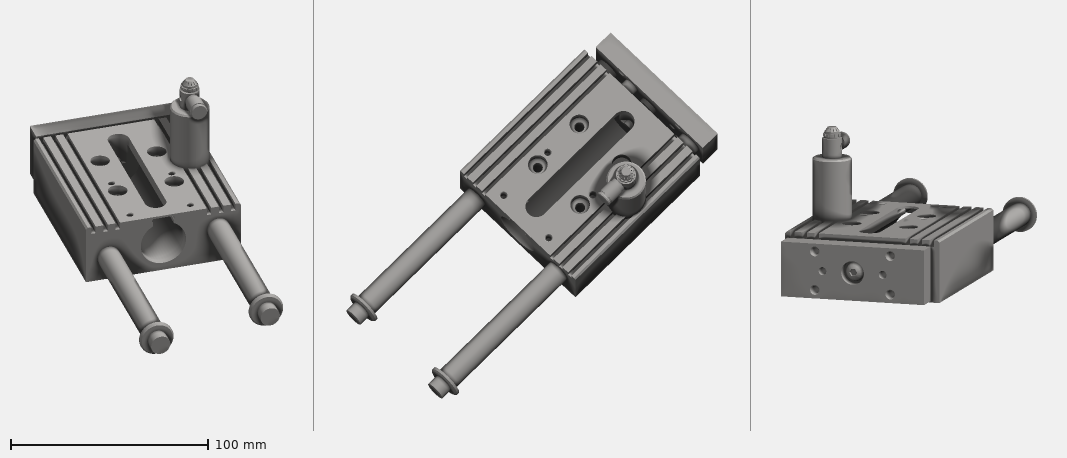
import cadquery as cq
import math

total_length = 195.0
overall_height = 79.2

plate_thickness = 10.7
plate_width = 76.0
plate_bottom = 1.8
plate_height = 28.3

housing_start = 16.0
housing_length = 89.9
housing_width = 82.0
housing_height = 32.2
housing_end = housing_start + housing_length
housing_edge_chamfer = 1.0

groove_width = 2.3
groove_depth = 3.9
groove_pitch = 6.5
groove_first_y = 24.2
grooves_per_side = 3

axis_z = housing_height / 2
bore_diameter = 24.0
bore_start = 26.7
slot_start = 23.8
slot_end = 97.9
slot_width = 11.1

passage_start = 92.5
passage_top = 31.0
passage_lip_height = 2.5
passage_width = 12.0

mount_hole_x = (46.0, 76.0)
mount_hole_y = 15.0
mount_hole_diameter = 5.0
mount_bore_diameter = 10.0
mount_bore_depth = 5.5

top_tap_x = (68.0, 99.8)
top_tap_y = 16.0
top_tap_diameter = 3.3
top_tap_mouth = 4.0
top_tap_depth = 5.8
drill_point_angle = 118.0

guide_y = 29.0
left_guide_z = 19.1
right_guide_z = 12.9
guide_diameter = 12.0
collar_start = 186.8
collar_thickness = 2.1
collar_diameter = 18.0
collar_chamfer = 0.8
guide_tip_diameter = 10.1

rod_diameter = 5.3
rod_collar_diameter = 10.0
rod_collar_thickness = 2.3
stop_diameter = 8.2
stop_y = -12.5
stop_z = 22.5

plate_tap_y = 20.0
plate_tap_z_offset = 10.0
plate_tap_diameter = 4.0
plate_tap_mouth = 5.0
plate_pin_y = 16.0
plate_pin_diameter = 4.0

screw_recess_diameter = 12.0
screw_recess_depth = 4.7
screw_head_diameter = 10.0
screw_head_height = 3.7
screw_socket_diameter = 4.0
screw_socket_depth = 2.0

canister_x = 57.1
canister_y = guide_y
canister_diameter = 20.0
canister_top = 63.5
canister_chamfer = 0.8

post_diameter = 10.1
post_top = 73.5
neck_diameter = 7.6
ring_diameter = 9.2
ring_bottom = 74.5
ring_height = 1.4
ring_notches = 12
ring_notch_width = 0.8
ring_notch_depth = 0.5
cap_cone_bottom = 77.0
cap_tip_diameter = 4.5
cap_flutes = 12
cap_flute_width = 0.4
cap_flute_inner_radius = 2.5
outlet_z = 69.2
outlet_cone_start = 2.5
outlet_cone_start_diameter = 9.0
outlet_inner_diameter = 5.3
outlet_collar_start = 5.0
outlet_collar_diameter = 7.6
outlet_sleeve_start = 7.5
outlet_sleeve_diameter = 8.5
outlet_gap_start = 14.5
outlet_gap_end = 15.2
outlet_end = 16.8
outlet_ring_chamfer = 0.4
screw_hole_diameter = 3.5
screw_hole_depth = 0.8
screw_slot_diameter = 2.1
screw_slot_depth = 1.5


def rod_x(start, end, y, z, diameter):
    """Cylinder along X between two X positions."""
    return cq.Workplane("YZ", origin=(start, y, z)).circle(diameter / 2).extrude(end - start)


def rod_z(start, end, x, y, diameter):
    """Upright cylinder between two heights."""
    return cq.Workplane("XY", origin=(x, y, start)).circle(diameter / 2).extrude(end - start)


def housing_block():
    block = cq.Workplane("XY").box(
        housing_length, housing_width, housing_height, centered=(False, True, False)
    ).translate((housing_start, 0, 0))
    return block.faces(">Z").edges("|X").chamfer(housing_edge_chamfer)


def housing_grooves():
    groove_y = [
        side * (groove_first_y + i * groove_pitch) for side in (-1, 1) for i in range(grooves_per_side)
    ]
    middle = (housing_start + housing_end) / 2
    return (
        cq.Workplane("XY", origin=(middle, 0, housing_height))
        .pushPoints([(0, y) for y in groove_y])
        .rect(housing_length, groove_width)
        .extrude(-groove_depth)
    )


def piston_bore():
    return rod_x(bore_start, housing_end, 0, axis_z, bore_diameter)


def top_slot():
    """Round-ended opening from the top down to the bore axis."""
    return (
        cq.Workplane("XY", origin=((slot_start + slot_end) / 2, 0, housing_height))
        .slot2D(slot_end - slot_start, slot_width)
        .extrude(axis_z - housing_height)
    )


def slot_end_passage():
    """Channel as wide as the slot, with a wider round-sided top, running out through the +X face."""
    length = housing_end - passage_start
    channel = cq.Workplane("XY", origin=(passage_start, 0, axis_z)).box(
        length, slot_width, passage_top - axis_z, centered=(False, True, False)
    )
    lip = (
        cq.Workplane("YZ", origin=(passage_start, 0, passage_top - passage_lip_height / 2))
        .slot2D(passage_width, passage_lip_height)
        .extrude(length)
    )
    return channel.union(lip)


def mount_hole(x, y):
    through = rod_z(0, housing_height, x, y, mount_hole_diameter)
    head = rod_z(housing_height - mount_bore_depth, housing_height, x, y, mount_bore_diameter)
    return through.union(head)


def top_tap_hole(x, y):
    """Blind drilled hole with a countersunk mouth and a conical bottom."""
    radius = top_tap_diameter / 2
    mouth_radius = top_tap_mouth / 2
    floor = housing_height - top_tap_depth
    point = floor - radius / math.tan(math.radians(drill_point_angle / 2))
    profile = [
        (0, point),
        (radius, floor),
        (radius, housing_height - (mouth_radius - radius)),
        (mouth_radius, housing_height),
        (0, housing_height),
    ]
    return cq.Workplane("XZ").polyline(profile).close().revolve(360, (0, 0), (0, 1)).translate((x, y, 0))


def canister():
    """Upright cylinder standing on the groove floors."""
    body = rod_z(housing_height - groove_depth, canister_top, canister_x, canister_y, canister_diameter)
    return body.faces(">Z").chamfer(canister_chamfer)


def fitting_cap():
    """Neck with a notched ring and a fluted conical tip, on top of the post."""
    neck_radius = neck_diameter / 2
    profile = [
        (0, post_top),
        (neck_radius, post_top),
        (neck_radius, cap_cone_bottom),
        (cap_tip_diameter / 2, overall_height),
        (0, overall_height),
    ]
    cap = cq.Workplane("XZ").polyline(profile).close().revolve(360, (0, 0), (0, 1))
    flute_length = neck_radius - cap_flute_inner_radius
    flutes = (
        cq.Workplane("XY", origin=(0, 0, cap_cone_bottom))
        .polarArray(cap_flute_inner_radius + flute_length / 2, 0, 360, cap_flutes)
        .rect(flute_length, cap_flute_width)
        .extrude(overall_height - cap_cone_bottom)
    )
    ring = cq.Workplane("XY", origin=(0, 0, ring_bottom)).circle(ring_diameter / 2).extrude(ring_height)
    notches = (
        cq.Workplane("XY", origin=(0, 0, ring_bottom))
        .polarArray(ring_diameter / 2, 0, 360, ring_notches)
        .rect(2 * ring_notch_depth, ring_notch_width)
        .extrude(ring_height)
    )
    return cap.cut(flutes).union(ring.cut(notches)).translate((canister_x, canister_y, 0))


def outlet_step(start, end, diameter):
    """Length of the outlet between two distances from the post axis."""
    return rod_x(canister_x + start, canister_x + end, canister_y, outlet_z, diameter)


def fitting_outlet():
    """Stepped side outlet pointing along +X: root cone, collar, sleeve, narrow gap and end ring."""
    root_cone = (
        cq.Workplane("YZ", origin=(canister_x + outlet_cone_start, canister_y, outlet_z))
        .circle(outlet_cone_start_diameter / 2)
        .workplane(offset=outlet_collar_start - outlet_cone_start)
        .circle(outlet_inner_diameter / 2)
        .loft()
    )
    collar = outlet_step(outlet_collar_start, outlet_gap_end, outlet_collar_diameter)
    sleeve = outlet_step(outlet_sleeve_start, outlet_gap_start, outlet_sleeve_diameter)
    end_ring = outlet_step(outlet_gap_end, outlet_end, outlet_sleeve_diameter)
    end_ring = end_ring.faces("|X").chamfer(outlet_ring_chamfer)
    return root_cone.union(collar).union(sleeve).union(end_ring)


def fitting_screw_hole():
    """Stepped blind hole in the -Y side of the post."""
    face = cq.Workplane("XZ", origin=(canister_x, canister_y - post_diameter / 2, outlet_z))
    wide = face.circle(screw_hole_diameter / 2).extrude(-screw_hole_depth)
    narrow = face.circle(screw_slot_diameter / 2).extrude(-screw_slot_depth)
    return wide.union(narrow)


def make_housing():
    body = housing_block().cut(housing_grooves()).cut(piston_bore()).cut(top_slot()).cut(slot_end_passage())
    for side in (-1, 1):
        for x in mount_hole_x:
            body = body.cut(mount_hole(x, side * mount_hole_y))
        for x in top_tap_x:
            body = body.cut(top_tap_hole(x, side * top_tap_y))
    post = rod_z(canister_top, post_top, canister_x, canister_y, post_diameter)
    body = body.union(canister()).union(post).union(fitting_cap()).union(fitting_outlet())
    body = body.cut(fitting_screw_hole())
    body = body.cut(rod_x(housing_start, housing_end, guide_y, left_guide_z, guide_diameter))
    body = body.cut(rod_x(housing_start, housing_end, -guide_y, right_guide_z, guide_diameter))
    return body.cut(rod_x(housing_start, bore_start, 0, axis_z, rod_diameter))


def guide_rod(y, z):
    """Guide rod from the end plate to its collar, with a thinner tip."""
    collar_end = collar_start + collar_thickness
    rod = rod_x(plate_thickness, collar_start, y, z, guide_diameter)
    collar = rod_x(collar_start, collar_end, y, z, collar_diameter).faces(">X").chamfer(collar_chamfer)
    return rod.union(collar).union(rod_x(collar_end, total_length, y, z, guide_tip_diameter))


def piston_rod():
    collar_end = plate_thickness + rod_collar_thickness
    rod = rod_x(plate_thickness, bore_start, 0, axis_z, rod_diameter)
    return rod.union(rod_x(plate_thickness, collar_end, 0, axis_z, rod_collar_diameter))


def plate_tap_hole(y, z):
    """Through hole with a 45 degree countersunk mouth on the outer face."""
    hole = rod_x(0, plate_thickness, y, z, plate_tap_diameter)
    mouth_depth = (plate_tap_mouth - plate_tap_diameter) / 2
    mouth = (
        cq.Workplane("YZ", origin=(0, y, z))
        .circle(plate_tap_mouth / 2)
        .workplane(offset=mouth_depth)
        .circle(plate_tap_diameter / 2)
        .loft()
    )
    return hole.union(mouth)


def screw_head():
    """Domed screw head with a hexagon socket, standing on the recess floor."""
    floor = screw_recess_depth
    radius = screw_head_diameter / 2
    top = floor - screw_head_height
    dome = (
        cq.Workplane("XY")
        .moveTo(floor, 0)
        .lineTo(floor, radius)
        .threePointArc((floor - screw_head_height * math.sqrt(0.5), radius * math.sqrt(0.5)), (top, 0))
        .close()
        .revolve(360, (0, 0), (1, 0))
    )
    return dome.translate((0, 0, axis_z))


def make_carriage():
    body = cq.Workplane("XY").box(
        plate_thickness, plate_width, plate_height, centered=(False, True, False)
    ).translate((0, 0, plate_bottom))
    for side in (-1, 1):
        body = body.cut(rod_x(0, plate_thickness, side * plate_pin_y, axis_z, plate_pin_diameter))
        for level in (-1, 1):
            body = body.cut(plate_tap_hole(side * plate_tap_y, axis_z + level * plate_tap_z_offset))
    body = body.cut(rod_x(0, screw_recess_depth, 0, axis_z, screw_recess_diameter))
    socket = (
        cq.Workplane("YZ", origin=(0, 0, axis_z))
        .polygon(6, screw_socket_diameter)
        .extrude(screw_recess_depth - screw_head_height + screw_socket_depth)
    )
    body = body.union(screw_head().cut(socket))
    body = body.union(guide_rod(guide_y, left_guide_z)).union(guide_rod(-guide_y, right_guide_z))
    stop = rod_x(plate_thickness, housing_start, stop_y, stop_z, stop_diameter)
    return body.union(piston_rod()).union(stop)


housing = make_housing()
carriage = make_carriage()

result = cq.Compound.makeCompound([housing.solids().val(), carriage.solids().val()])